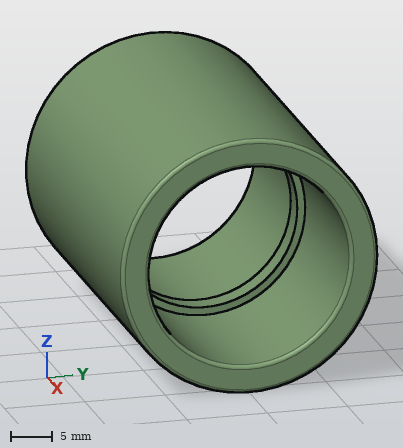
import cadquery as cq

length = 44.0
outer_diameter = 32.0
socket_diameter = 25.0
stop_diameter = 23.0
stop_length = 3.0
edge_round = 0.5

socket_depth = (length - stop_length) / 2


def cylinder_along_x(diameter, start, extent):
    """Solid cylinder on the X axis, running from start towards +X."""
    return cq.Workplane("YZ", origin=(start, 0, 0)).circle(diameter / 2).extrude(extent)


sleeve = cylinder_along_x(outer_diameter, -length / 2, length)
sleeve = sleeve.cut(cylinder_along_x(stop_diameter, -length / 2, length))

for socket_start in (-length / 2, stop_length / 2):
    sleeve = sleeve.cut(cylinder_along_x(socket_diameter, socket_start, socket_depth))

result = sleeve.faces("<X or >X").edges().fillet(edge_round)